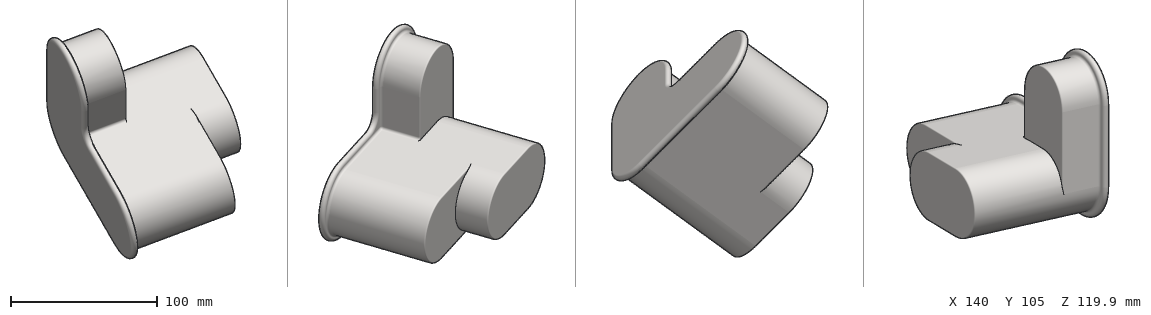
import cadquery as cq

flange_length = 140.0
flange_thickness = 5.0

side_reach = 80.0
upper_reach = 59.9
flange_radius = (flange_length - side_reach) / 2
flange_inner_radius = 10.0

arm_radius = 25.0
upper_depth = 35.0
side_depth = 80.0
corner_depth = 105.0
corner_reach = 35.0

arm_inner_radius = 2.0
root_radius = 2.0
end_radius = 1.0
round_clearance = 0.01
flange_round = flange_thickness / 2 - round_clearance

selection_margin = 0.1


def arm(reach_x, reach_z, radius, depth):
    """Extrude a slot from the corner centre to the given arm centre."""
    reach = reach_x + reach_z
    angle = 90 if reach_z > 0 else 0
    return (
        cq.Workplane("XZ")
        .center(reach_x / 2, reach_z / 2)
        .slot2D(reach + 2 * radius, 2 * radius, angle)
        .extrude(-depth)
    )


def round_inner_corner(body, arm_width, depth, radius):
    """Round the concave edge where the upper arm meets the side arm."""
    low = arm_width - selection_margin
    high = arm_width + selection_margin
    corner = cq.selectors.BoxSelector(
        (low, -selection_margin, low), (high, depth + selection_margin, high)
    )
    return body.edges("|Y").edges(corner).fillet(radius)


flange = arm(side_reach, 0, flange_radius, flange_thickness).union(
    arm(0, upper_reach, flange_radius, flange_thickness)
)
flange = round_inner_corner(flange, flange_radius, flange_thickness, flange_inner_radius)
flange = flange.faces("<Y or >Y").edges().fillet(flange_round)

upper_step = arm(0, upper_reach, arm_radius, upper_depth).union(
    arm(side_reach, 0, arm_radius, upper_depth)
)
upper_step = round_inner_corner(upper_step, arm_radius, upper_depth, arm_inner_radius)
side_step = arm(side_reach, 0, arm_radius, side_depth)
corner_step = arm(corner_reach, 0, arm_radius, corner_depth)

upper_step, side_step, corner_step = [
    step.faces(">Y").edges().fillet(end_radius) for step in (upper_step, side_step, corner_step)
]
body = upper_step.union(side_step).union(corner_step)

result = flange.union(body)
flange_back = result.faces("+Y").faces("<Y").val()
root_edges = flange_back.innerWires()[0].Edges()
result = result.newObject(root_edges).fillet(root_radius)